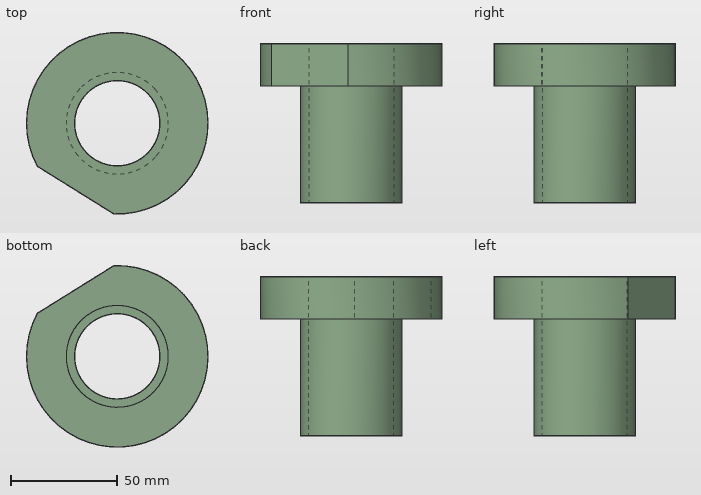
import cadquery as cq

flange_diameter = 85.5
flange_thickness = 20.0
total_height = 75.0
shank_diameter = 48.0
bore_diameter = 40.0
flat_distance = 37.1
flat_direction = 238.1

shank_length = total_height - flange_thickness


def make_flange():
    """Round flange with one flat cut into its rim."""
    disc = cq.Workplane("XY").circle(flange_diameter / 2).extrude(flange_thickness)
    flat_cutter = (
        cq.Workplane("XY")
        .center(flat_distance + flange_diameter / 2, 0)
        .rect(flange_diameter, flange_diameter)
        .extrude(flange_thickness)
        .rotate((0, 0, 0), (0, 0, 1), flat_direction)
    )
    return disc.cut(flat_cutter).translate((0, 0, shank_length))


shank = cq.Workplane("XY").circle(shank_diameter / 2).extrude(shank_length)
body = shank.union(make_flange())

bore = cq.Workplane("XY").circle(bore_diameter / 2).extrude(total_height)
result = body.cut(bore)